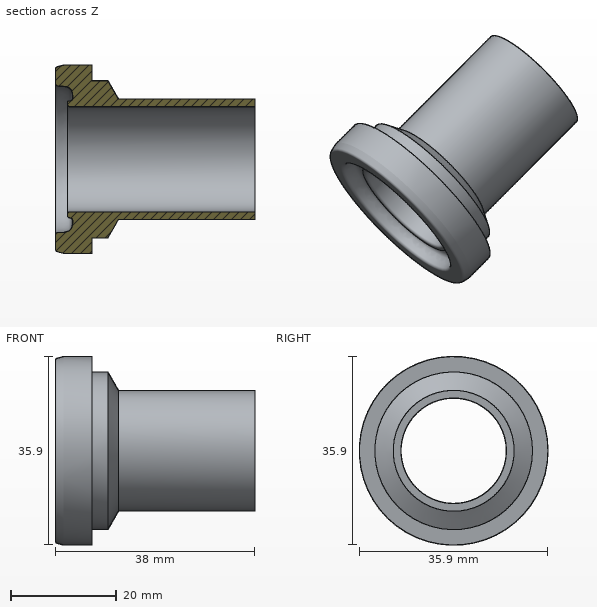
import cadquery as cq
import math

length = 38.0
bore_radius = 20.0 / 2
tube_radius = 23.0 / 2
collar_radius = 30.0 / 2
flange_radius = 35.9 / 2

flange_back = 7.0
collar_end = 10.0
cone_end = 12.0

taper_end = 1.6
taper_angle = math.radians(15)
edge_round = 0.5

groove_outer_radius = 13.9
groove_inner_radius = 11.15
groove_bottom = 3.25
groove_bottom_radius = 12.25
mouth_round = 0.55

lip_setback = 2.28
lip_outer_round = 0.3
lip_bore_round = 0.45
groove_inner_start = lip_setback + lip_outer_round

edge_round_depth = edge_round * (1 - math.sin(taper_angle))
edge_round_end_radius = flange_radius - (taper_end - edge_round_depth) * math.tan(taper_angle)
edge_round_center_radius = edge_round_end_radius - edge_round * math.cos(taper_angle)
edge_mid_angle = (math.pi / 2 + taper_angle) / 2
edge_round_middle = (
    edge_round * (1 - math.sin(edge_mid_angle)),
    edge_round_center_radius + edge_round * math.cos(edge_mid_angle),
)

corner_inset = 1 - math.sqrt(0.5)

outside = (
    cq.Workplane("XY")
    .moveTo(0, groove_outer_radius + mouth_round)
    .lineTo(0, edge_round_center_radius)
    .threePointArc(edge_round_middle, (edge_round_depth, edge_round_end_radius))
    .lineTo(taper_end, flange_radius)
    .lineTo(flange_back, flange_radius)
    .lineTo(flange_back, collar_radius)
    .lineTo(collar_end, collar_radius)
    .lineTo(cone_end, tube_radius)
    .lineTo(length, tube_radius)
    .lineTo(length, bore_radius)
)

outside_and_lip = (
    outside
    .lineTo(lip_setback + lip_bore_round, bore_radius)
    .threePointArc(
        (lip_setback + corner_inset * lip_bore_round, bore_radius + corner_inset * lip_bore_round),
        (lip_setback, bore_radius + lip_bore_round),
    )
    .lineTo(lip_setback, groove_inner_radius - lip_outer_round)
    .threePointArc(
        (lip_setback + corner_inset * lip_outer_round, groove_inner_radius - corner_inset * lip_outer_round),
        (groove_inner_start, groove_inner_radius),
    )
)

half_section = (
    outside_and_lip
    .spline(
        [(groove_bottom, groove_bottom_radius), (mouth_round, groove_outer_radius)],
        tangents=[(1, 0), (-1, 0)],
        includeCurrent=True,
    )
    .threePointArc(
        (corner_inset * mouth_round, groove_outer_radius + corner_inset * mouth_round),
        (0, groove_outer_radius + mouth_round),
    )
    .close()
)

result = half_section.revolve(360, (0, 0, 0), (1, 0, 0))